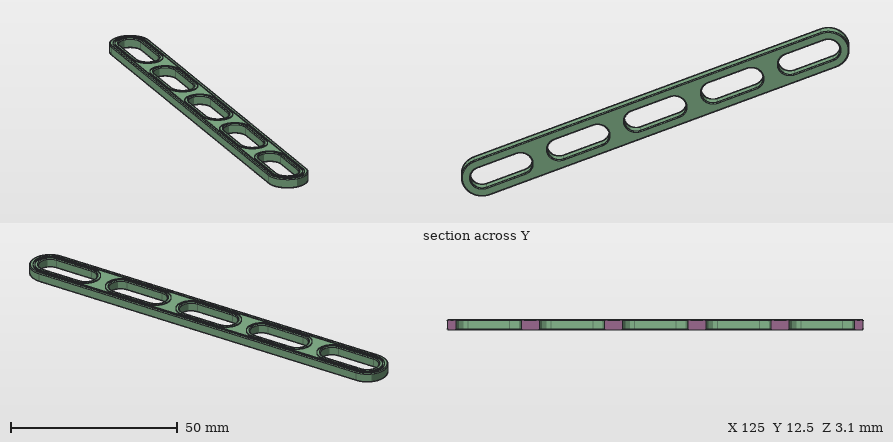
import cadquery as cq

LENGTH = 125.0
WIDTH = 12.5
THICKNESS = 3.1

SLOT_COUNT = 5
SLOT_PITCH = LENGTH / SLOT_COUNT
WALL = 2.8
SLOT_WIDTH = WIDTH - 2 * WALL
SLOT_LENGTH = SLOT_PITCH - 2 * WALL

CHAMFER = 0.3

RIM_WIDTH = 1.1
RECESS_DEPTH = 0.2

TOP_Z = THICKNESS / 2
RECESS_FLOOR_Z = TOP_Z - RECESS_DEPTH


def stadium(length, width, bottom_z, top_z):
    """Upright prism with full-round ends, long in X and centred on the Z axis."""
    profile = cq.Workplane("XY").workplane(offset=bottom_z).slot2D(length, width)
    return profile.extrude(top_z - bottom_z)


def slot_row(margin, bottom_z, top_z):
    """One prism per slot position, each larger than its slot by the margin all round."""
    prism = stadium(SLOT_LENGTH + 2 * margin, SLOT_WIDTH + 2 * margin, bottom_z, top_z)
    row = cq.Workplane("XY")
    for index in range(SLOT_COUNT):
        x = (index - (SLOT_COUNT - 1) / 2) * SLOT_PITCH
        row = row.add(prism.translate((x, 0, 0)))
    return row.combine()


def slotted_bar():
    """Bar with its through slots, chamfered along every top and bottom edge."""
    bar = stadium(LENGTH, WIDTH, -TOP_Z, TOP_Z)
    bar = bar.cut(slot_row(0, -TOP_Z, TOP_Z))
    return bar.faces("|Z").edges().chamfer(CHAMFER)


def top_recess():
    """Shallow cutter for the top face that leaves the rims standing."""
    inset = 2 * RIM_WIDTH
    panel = stadium(LENGTH - inset, WIDTH - inset, RECESS_FLOOR_Z, TOP_Z)
    return panel.cut(slot_row(RIM_WIDTH, RECESS_FLOOR_Z, TOP_Z))


result = slotted_bar().cut(top_recess())